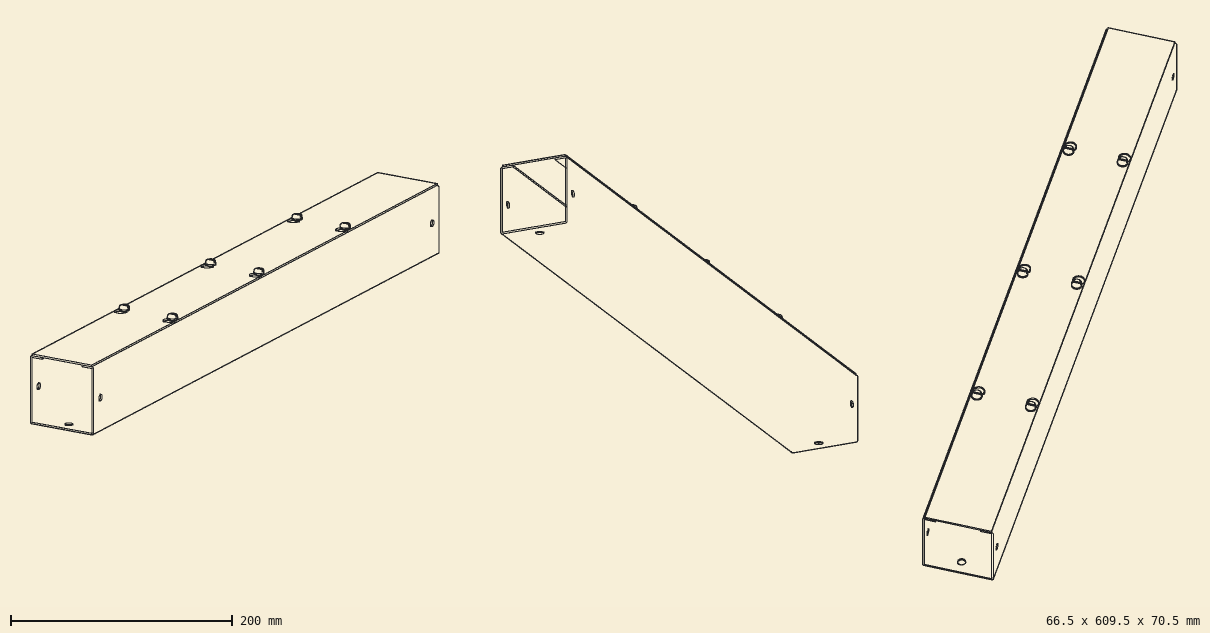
import cadquery as cq

length = 609.5
width = 66.5
body_height = 66.5
sheet_thickness = 1.65
bend_radius = 1.95
flange_width = 12.0

cover_width = width - 2 * bend_radius
channel_height = body_height - sheet_thickness

wall_hole_diameter = 6.0
floor_hole_diameter = 7.5
end_hole_inset = 12.0
end_hole_y = (end_hole_inset - length / 2, length / 2 - end_hole_inset)

screw_pitch = 152.5
screw_rows = (-1, 0, 1)
screw_edge_inset = 8.0
screw_x = width / 2 - screw_edge_inset
shank_diameter = 5.0
shank_bottom_z = 58.5
washer_diameter = 10.0
washer_height = 1.0
head_diameter = 9.0
head_height = 4.0
head_edge_round = 2.0
slot_width = 1.0
slot_depth = 2.0

entry_diameter = 11.0
entry_offset = 6.0
neck_width = 5.5


def screw_places():
    """Centres of the six screws."""
    return [(side * screw_x, row * screw_pitch) for row in screw_rows for side in (-1, 1)]


def make_channel():
    """C-section with end holes in the walls and floor and screw holes in the flanges."""
    body = cq.Workplane("XY").box(width, length, channel_height, centered=(True, True, False))
    body = body.edges("|Y").fillet(bend_radius)
    inner_width = width - 2 * sheet_thickness
    inside = (
        cq.Workplane("XY", origin=(0, 0, sheet_thickness))
        .box(inner_width, length, channel_height - 2 * sheet_thickness, centered=(True, True, False))
        .edges("|Y")
        .fillet(bend_radius - sheet_thickness)
    )
    mouth = cq.Workplane("XY", origin=(0, 0, channel_height / 2)).box(
        width - 2 * flange_width, length, channel_height, centered=(True, True, False)
    )
    wall_holes = (
        cq.Workplane("YZ")
        .pushPoints([(y, channel_height / 2) for y in end_hole_y])
        .circle(wall_hole_diameter / 2)
        .extrude(width, both=True)
    )
    floor_holes = (
        cq.Workplane("XY")
        .pushPoints([(0, y) for y in end_hole_y])
        .circle(floor_hole_diameter / 2)
        .extrude(channel_height / 2)
    )
    screw_holes = (
        cq.Workplane("XY", origin=(0, 0, channel_height / 2))
        .pushPoints(screw_places())
        .circle(shank_diameter / 2)
        .extrude(channel_height)
    )
    return body.cut(inside).cut(mouth).cut(wall_holes).cut(floor_holes).cut(screw_holes)


def make_cover():
    """Flat plate with one keyhole per screw."""
    plate = cq.Workplane("XY", origin=(0, 0, channel_height)).box(
        cover_width, length, sheet_thickness, centered=(True, True, False)
    )
    base = cq.Workplane("XY", origin=(0, 0, channel_height))
    entries = (
        base.pushPoints([(x, y - entry_offset) for x, y in screw_places()])
        .circle(entry_diameter / 2)
        .extrude(sheet_thickness)
    )
    necks = (
        base.pushPoints([(x, y - entry_offset / 2) for x, y in screw_places()])
        .slot2D(entry_offset + neck_width, neck_width, 90)
        .extrude(sheet_thickness)
    )
    return plate.cut(entries).cut(necks)


def make_screw(x, y):
    """Slotted screw standing on the cover, its shank passing through the flange."""
    shank = cq.Workplane("XY", origin=(x, y, shank_bottom_z)).circle(shank_diameter / 2)
    shank = shank.extrude(body_height - shank_bottom_z)
    head = (
        cq.Workplane("XY", origin=(x, y, body_height))
        .circle(head_diameter / 2)
        .extrude(head_height)
        .faces(">Z")
        .edges()
        .fillet(head_edge_round)
    )
    washer = cq.Workplane("XY", origin=(x, y, body_height)).circle(washer_diameter / 2)
    washer = washer.extrude(washer_height)
    slot = cq.Workplane("XY", origin=(x, y, body_height + head_height)).box(
        head_diameter, slot_width, 2 * slot_depth
    )
    return shank.union(washer).union(head.cut(slot))


channel = make_channel()
cover = make_cover()
screws = [make_screw(x, y) for x, y in screw_places()]

result = cq.Compound.makeCompound([channel.val(), cover.val(), *[screw.val() for screw in screws]])